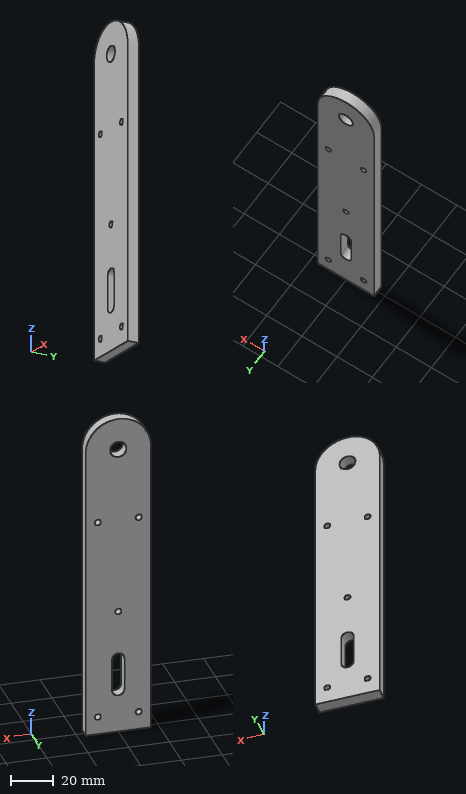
import cadquery as cq

width = 32.0
thickness = 6.0
height = 164.0
end_radius = width / 2
pivot_height = height - end_radius

pivot_diameter = 7.9
screw_diameter = 3.0
screw_offset = 10.0
lower_screw_height = 9.0
upper_screw_height = 111.0
center_screw_height = 63.0
slot_width = 6.0
slot_length = 22.0
slot_height = 30.0


def through_holes(points, diameter):
    """Cylinders along Y that pass through the plate at (X, Z) points."""
    return cq.Workplane("XZ").pushPoints(points).circle(diameter / 2).extrude(thickness)


plate = (
    cq.Workplane("XZ")
    .moveTo(-width / 2, 0)
    .lineTo(width / 2, 0)
    .lineTo(width / 2, pivot_height)
    .threePointArc((0, height), (-width / 2, pivot_height))
    .close()
    .extrude(thickness)
)

screw_points = [
    (x, z)
    for x in (-screw_offset, screw_offset)
    for z in (lower_screw_height, upper_screw_height)
]
screw_points.append((0, center_screw_height))

slot = (
    cq.Workplane("XZ")
    .center(0, slot_height)
    .slot2D(slot_length, slot_width, 90)
    .extrude(thickness)
)

result = (
    plate
    .cut(through_holes([(0, pivot_height)], pivot_diameter))
    .cut(through_holes(screw_points, screw_diameter))
    .cut(slot)
)